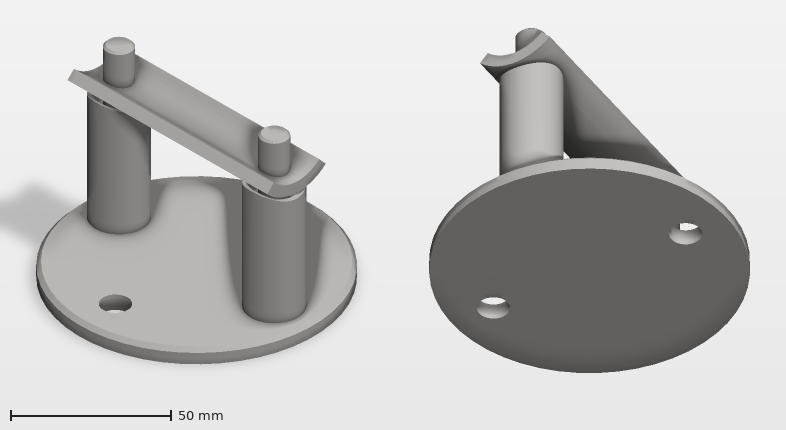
import cadquery as cq
import math

base_diameter = 100
base_thickness = 5.7
base_chamfer = 1.5
mount_hole_diameter = 10.4

station_radius = 35
post_stations = [(-station_radius, 0), (station_radius, 0)]
mount_stations = [(0, -station_radius), (0, station_radius)]

post_diameter = 20
post_bore_diameter = 16.4
seat_bottom = 50.2
seat_radius = 20.5
seat_axis_height = seat_bottom + seat_radius

core_recess = 5
core_top = seat_bottom - core_recess

pin_diameter = 10
pin_top = 70
pin_chamfer = 0.8

cradle_length = 90
cradle_outer_radius = 18.1
cradle_thickness = 4.1
cradle_inner_radius = cradle_outer_radius - cradle_thickness
cradle_sweep = 89
cradle_bottom = 52.4
cradle_axis_height = cradle_bottom + cradle_outer_radius


def upright_cylinder(station, diameter, bottom, top):
    """Vertical cylinder at a station, between two heights."""
    return (
        cq.Workplane("XY", origin=(*station, bottom))
        .circle(diameter / 2)
        .extrude(top - bottom)
    )


def make_base():
    """Round plate with a chamfered upper rim and two mounting holes."""
    plate = cq.Workplane("XY").circle(base_diameter / 2).extrude(base_thickness)
    plate = plate.faces(">Z").chamfer(base_chamfer)
    mount_holes = (
        cq.Workplane("XY")
        .pushPoints(mount_stations)
        .circle(mount_hole_diameter / 2)
        .extrude(base_thickness)
    )
    return plate.cut(mount_holes)


def make_post(station):
    """Tube standing on the plate, its top hollowed to a concave seat."""
    column = upright_cylinder(station, post_diameter, base_thickness, seat_axis_height)
    bore = upright_cylinder(station, post_bore_diameter, base_thickness, seat_axis_height)
    seat = (
        cq.Workplane("YZ")
        .center(0, seat_axis_height)
        .circle(seat_radius)
        .extrude(base_diameter / 2, both=True)
    )
    return column.cut(bore).cut(seat)


def make_core(station):
    """Solid rod that fills the post bore from the plate upwards."""
    return upright_cylinder(station, post_bore_diameter, base_thickness, core_top)


def make_pin(station):
    """Round pin on top of the core, with a chamfered tip."""
    shank = upright_cylinder(station, pin_diameter, core_top, pin_top)
    return shank.faces(">Z").chamfer(pin_chamfer)


def cradle_arc_point(radius, angle):
    """Point in the YZ plane at an angle in degrees from straight down, about the cradle axis."""
    turn = math.radians(angle)
    return (radius * math.sin(turn), cradle_axis_height - radius * math.cos(turn))


def make_cradle():
    """Trough of constant thickness, open upwards, with a hole for each pin."""
    half_sweep = cradle_sweep / 2
    trough = (
        cq.Workplane("YZ")
        .moveTo(*cradle_arc_point(cradle_outer_radius, -half_sweep))
        .threePointArc(
            cradle_arc_point(cradle_outer_radius, 0),
            cradle_arc_point(cradle_outer_radius, half_sweep),
        )
        .lineTo(*cradle_arc_point(cradle_inner_radius, half_sweep))
        .threePointArc(
            cradle_arc_point(cradle_inner_radius, 0),
            cradle_arc_point(cradle_inner_radius, -half_sweep),
        )
        .close()
        .extrude(cradle_length / 2, both=True)
    )
    for station in post_stations:
        trough = trough.cut(upright_cylinder(station, pin_diameter, core_top, pin_top))
    return trough


base = make_base()
posts = [make_post(station) for station in post_stations]
cores = [make_core(station) for station in post_stations]
pins = [make_pin(station) for station in post_stations]
cradle = make_cradle()

result = cq.Compound.makeCompound(
    [
        base.val(),
        *[post.val() for post in posts],
        *[core.val() for core in cores],
        *[pin.val() for pin in pins],
        cradle.val(),
    ]
)